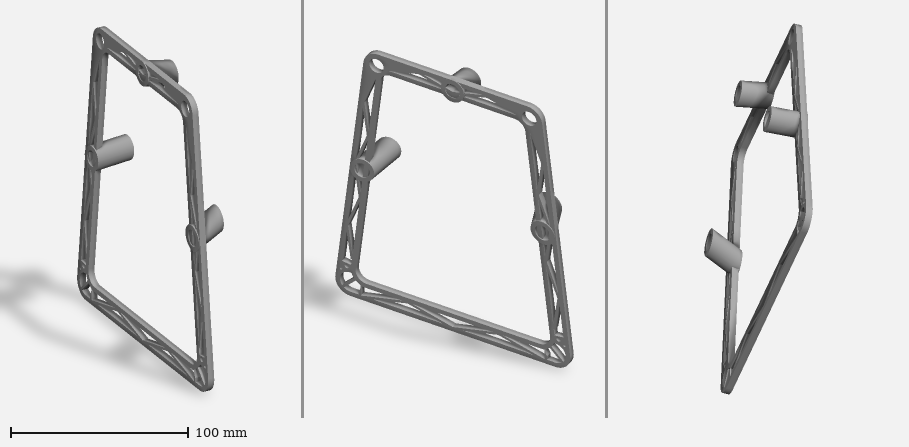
import cadquery as cq
import math


frame_height = 177.5
plate_thickness = 4.0
bottom_half_width = 77.5
top_half_width = 57.0
outer_radius = 9.8
inner_radius = 7.1

bottom_band = 12.5
side_band = 12.0
top_band = 12.0
rail = 3.0
strut = 1.6

bottom_pitch = 29.4
top_pitch = 22.3
side_pitch = 22.8
side_top_node = 163.1
side_node_count = 7
side_truss_end = 22.8
post_x = 60.4

corner_hole_diameter = 9.5
corner_hole_x = 49.5
corner_hole_z = 169.2
pin_hole_diameter = 3.0
pin_hole_x = 68.8
pin_hole_z = 20.3
pilot_hole_diameter = 1.71
pilot_hole_x = 72.5
pilot_hole_z = 17.3

tube_diameter = 15.0
tube_bore = 9.5
tube_length = 19.6
tube_front = -0.5
top_tube_z = 170.5
top_tube_drop = 4.3
side_tube_x = 58.6
side_tube_z = 92.0
side_tube_shift = 6.5
side_tube_rise = 5.3

side_lean = (bottom_half_width - top_half_width) / frame_height
side_stretch = math.hypot(1, side_lean)


def side_x(z, inset):
    """Half width of the line running parallel to the outer side, inset from it."""
    return bottom_half_width - side_lean * z - inset * side_stretch


def prism(points):
    """Plate-thick solid with the given (x, z) outline."""
    return cq.Workplane("XZ").polyline(points).close().extrude(-plate_thickness)


def disc(x, z, diameter):
    return cq.Workplane("XZ").center(x, z).circle(diameter / 2).extrude(-plate_thickness)


def strut_bar(start, end):
    """Strut of constant width between two (x, z) points."""
    run = end[0] - start[0]
    rise = end[1] - start[1]
    length = math.hypot(run, rise)
    across_x = -rise / length * strut / 2
    across_z = run / length * strut / 2
    return prism([
        (start[0] + across_x, start[1] + across_z),
        (end[0] + across_x, end[1] + across_z),
        (end[0] - across_x, end[1] - across_z),
        (start[0] - across_x, start[1] - across_z),
    ])


def trapezoid(side_inset, bottom_inset, top_inset, radius):
    """Rounded trapezoid inset from the unrounded frame outline."""
    low = bottom_inset
    high = frame_height - top_inset
    low_x = side_x(low, side_inset)
    high_x = side_x(high, side_inset)
    outline = [(-low_x, low), (low_x, low), (high_x, high), (-high_x, high)]
    return prism(outline).edges("|Y").fillet(radius)


def truss_windows(gap, nodes):
    """Gap between two rails, less the struts that zigzag through the nodes."""
    windows = prism(gap)
    for start, end in zip(nodes, nodes[1:]):
        windows = windows.cut(strut_bar(start, end))
    return windows


def bottom_windows():
    low = rail
    high = bottom_band - rail
    gap_end = post_x - strut / 2
    gap = [(-gap_end, low), (gap_end, low), (gap_end, high), (-gap_end, high)]
    low_node = low - strut / 2
    nodes = [(i * bottom_pitch, high if i % 2 else low_node) for i in range(-2, 3)]
    return truss_windows(gap, nodes)


def top_windows():
    low = frame_height - top_band + rail
    high = frame_height - rail
    nodes = [(i * top_pitch, high if i % 2 else low) for i in range(-2, 3)]
    gap = [nodes[0], nodes[1], nodes[3], nodes[4]]
    return truss_windows(gap, nodes)


def right_side_windows():
    inner = side_band - rail
    nodes = []
    for i in range(side_node_count):
        z = side_top_node - i * side_pitch
        nodes.append((side_x(z, rail if i % 2 else inner), z))
    outer_end_x = side_x(side_truss_end, rail)
    inner_end_x = side_x(side_truss_end, inner)
    inner_end_z = side_truss_end - side_lean * (outer_end_x - inner_end_x)
    gap = [
        nodes[0],
        nodes[1],
        (outer_end_x, side_truss_end),
        (side_x(inner_end_z, inner), inner_end_z),
    ]
    return truss_windows(gap, nodes)


def right_corner_windows():
    """Round-ended window around the bottom corner, split by a diagonal strut."""
    radius = outer_radius - rail
    centre_x = side_x(outer_radius, outer_radius)
    centre_z = outer_radius
    post_side = post_x + strut / 2
    window = disc(centre_x, centre_z, 2 * radius).union(prism([
        (post_side, centre_z - radius),
        (centre_x, centre_z - radius),
        (centre_x, centre_z + radius),
        (post_side, centre_z + radius),
    ]))
    inner_rail = trapezoid(side_band - rail, bottom_band - rail, top_band - rail, inner_radius + rail)
    reach = 2 * radius
    diagonal = strut_bar((centre_x - reach, centre_z + reach), (centre_x + reach, centre_z - reach))
    return window.cut(inner_rail).cut(diagonal)


def right_holes():
    holes = disc(corner_hole_x, corner_hole_z, corner_hole_diameter)
    holes = holes.union(disc(pin_hole_x, pin_hole_z, pin_hole_diameter))
    return holes.union(disc(pilot_hole_x, pilot_hole_z, pilot_hole_diameter))


def tube(x, z, shift_x, shift_z):
    """Slanted tube with both ends flat in Y; its axis moves by the shifts from front to back."""
    axis = cq.Vector(shift_x, tube_length, shift_z)
    middle = cq.Vector(x, tube_front, z) + axis * 0.5
    stock_length = 2 * axis.Length
    plane = cq.Plane(origin=middle.toTuple(), normal=axis.toTuple())
    section = cq.Workplane(plane).circle(tube_diameter / 2).circle(tube_bore / 2)
    slanted = section.extrude(stock_length / 2, both=True)
    slab = (
        cq.Workplane("XY")
        .box(stock_length, tube_length, stock_length)
        .translate((middle.x, tube_front + tube_length / 2, middle.z))
    )
    return slanted.intersect(slab)


frame = trapezoid(0, 0, 0, outer_radius)
frame = frame.cut(trapezoid(side_band, bottom_band, top_band, inner_radius))
frame = frame.cut(bottom_windows()).cut(top_windows())
for right_cut in (right_side_windows(), right_corner_windows(), right_holes()):
    frame = frame.cut(right_cut).cut(right_cut.mirror("YZ"))

result = frame.union(tube(0, top_tube_z, 0, -top_tube_drop))
for side in (-1, 1):
    result = result.union(tube(side * side_tube_x, side_tube_z, -side * side_tube_shift, side_tube_rise))